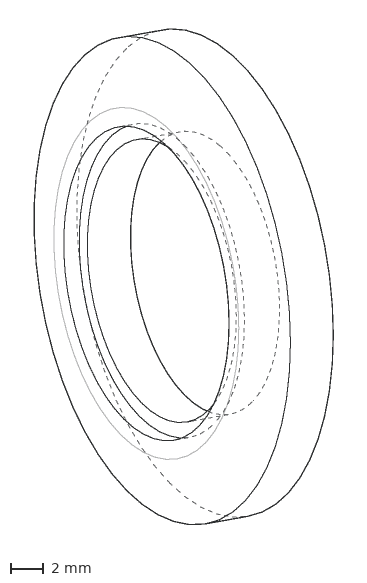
import cadquery as cq
import math

OUTER_DIAMETER = 29.97
THICKNESS = 4.17
FLAT_DIAMETER = 21.6
TAPER_ANGLE = 15.0
RECESS_DIAMETER = 19.3
RECESS_DEPTH = 1.1
BORE_DIAMETER = 17.4

outer_radius = OUTER_DIAMETER / 2
flat_radius = FLAT_DIAMETER / 2
recess_radius = RECESS_DIAMETER / 2
bore_radius = BORE_DIAMETER / 2
taper_height = (outer_radius - flat_radius) * math.tan(math.radians(TAPER_ANGLE))

back_y = THICKNESS / 2
front_y = -THICKNESS / 2
rim_y = front_y + taper_height
recess_floor_y = front_y + RECESS_DEPTH


def make_flange_ring():
    """Revolve the half section (radius along X, axial position along Y) about Y."""
    section = (
        cq.Workplane("XY")
        .moveTo(bore_radius, back_y)
        .lineTo(outer_radius, back_y)
        .lineTo(outer_radius, rim_y)
        .lineTo(flat_radius, front_y)
        .lineTo(recess_radius, front_y)
        .lineTo(recess_radius, recess_floor_y)
        .lineTo(bore_radius, recess_floor_y)
        .close()
    )
    return section.revolve(360, (0, 0, 0), (0, 1, 0))


result = make_flange_ring()